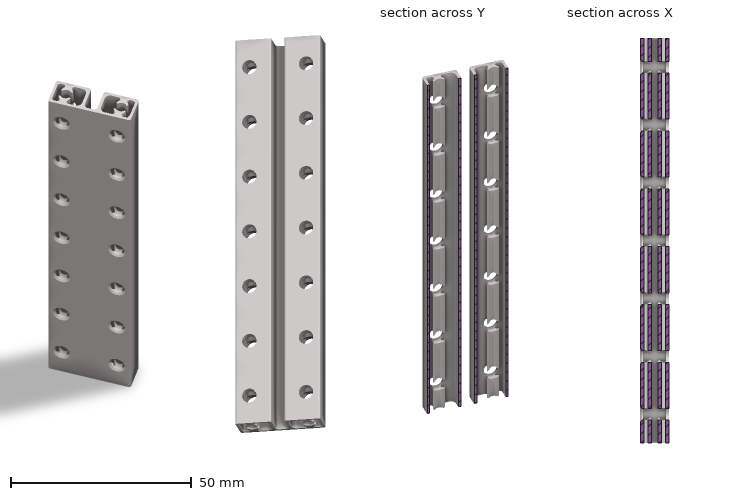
import cadquery as cq
import math

WIDTH = 24.0
DEPTH = 8.0
LENGTH = 112.0

SIDE_WALL = 0.8
FACE_WALL = 0.8
CHANNEL_WALL = 0.9
CHANNEL_FLOOR = 0.9
CHANNEL_WIDTH = 3.7

OUTER_RADIUS = 0.5
SIDE_CAVITY_RADIUS = 0.8
CHANNEL_CAVITY_RADIUS = 1.5
CHANNEL_RADIUS = 1.0

STEM_WIDTH = 2.1
ROOT_RADIUS = 0.3
CRADLE_INNER_RADIUS = 1.6
CRADLE_OUTER_RADIUS = 2.1
CRADLE_END_ANGLE = math.radians(34)
NECK_HEIGHT = 2.4

HOLE_ROWS = 7
HOLE_PITCH = LENGTH / HOLE_ROWS
HOLE_OFFSET = HOLE_PITCH / 2
HOLE_DIAMETER = 4.0
SINK_DIAMETER = 5.0
SINK_DEPTH = (SINK_DIAMETER - HOLE_DIAMETER) / 2

SIDES = (-1, 1)


def centred_box(width, depth, x, y):
    """Full-length bar centred on (x, y)."""
    return cq.Workplane("XY").box(width, depth, LENGTH).translate((x, y, 0))


def rail_body():
    """Rounded bar with the open channel along its +Y face."""
    bar = centred_box(WIDTH, DEPTH, 0, 0).edges("|Z").fillet(OUTER_RADIUS)
    channel = centred_box(CHANNEL_WIDTH, DEPTH, 0, CHANNEL_FLOOR)
    channel = channel.edges("|Z and <Y").fillet(CHANNEL_RADIUS)
    bar = bar.cut(channel)
    lip_box = cq.selectors.BoxSelector(
        (-CHANNEL_WIDTH, DEPTH / 2 - OUTER_RADIUS / 2, -LENGTH),
        (CHANNEL_WIDTH, DEPTH / 2 + OUTER_RADIUS / 2, LENGTH),
    )
    return bar.edges("|Z").edges(lip_box).fillet(OUTER_RADIUS)


def cavity(side):
    """Tube cavity, more generously rounded next to the channel."""
    inner_x = CHANNEL_WIDTH / 2 + CHANNEL_WALL
    outer_x = WIDTH / 2 - SIDE_WALL
    hollow = centred_box(outer_x - inner_x, DEPTH - 2 * FACE_WALL, side * (inner_x + outer_x) / 2, 0)
    channel_edges, side_edges = ("<X", ">X") if side > 0 else (">X", "<X")
    hollow = hollow.edges("|Z and " + channel_edges).fillet(CHANNEL_CAVITY_RADIUS)
    return hollow.edges("|Z and " + side_edges).fillet(SIDE_CAVITY_RADIUS)


def rib(side, face):
    """Stem and cradle growing from the wall at Y = face * DEPTH / 2."""
    cos_end = math.cos(CRADLE_END_ANGLE)
    sin_end = face * math.sin(CRADLE_END_ANGLE)
    inner_x, inner_y = CRADLE_INNER_RADIUS * cos_end, CRADLE_INNER_RADIUS * sin_end
    outer_x, outer_y = CRADLE_OUTER_RADIUS * cos_end, CRADLE_OUTER_RADIUS * sin_end
    stem_x = STEM_WIDTH / 2
    neck_y = face * NECK_HEIGHT
    root_x = stem_x + ROOT_RADIUS
    root_y = face * (DEPTH / 2 - FACE_WALL)
    flare_y = root_y - face * ROOT_RADIUS
    anchor_y = face * (DEPTH - FACE_WALL) / 2
    return (
        cq.Workplane("XY", origin=(side * HOLE_OFFSET, 0, -LENGTH / 2))
        .moveTo(-inner_x, inner_y)
        .threePointArc((0, face * CRADLE_INNER_RADIUS), (inner_x, inner_y))
        .lineTo(outer_x, outer_y)
        .lineTo(stem_x, neck_y)
        .lineTo(stem_x, flare_y)
        .radiusArc((root_x, root_y), -face * ROOT_RADIUS)
        .lineTo(root_x, anchor_y)
        .lineTo(-root_x, anchor_y)
        .lineTo(-root_x, root_y)
        .radiusArc((-stem_x, flare_y), -face * ROOT_RADIUS)
        .lineTo(-stem_x, neck_y)
        .lineTo(-outer_x, outer_y)
        .close()
        .extrude(LENGTH)
    )


def countersunk_holes():
    """Cutters through both faces of the tubes, countersunk on the -Y face."""
    middle_row = (HOLE_ROWS - 1) / 2
    centres = [
        (side * HOLE_OFFSET, (row - middle_row) * HOLE_PITCH)
        for side in SIDES
        for row in range(HOLE_ROWS)
    ]
    face = cq.Workplane("XZ", origin=(0, -DEPTH / 2, 0)).pushPoints(centres)
    drills = face.circle(HOLE_DIAMETER / 2).extrude(-DEPTH)
    sink = cq.Solid.makeCone(
        SINK_DIAMETER / 2, HOLE_DIAMETER / 2, SINK_DEPTH, dir=cq.Vector(0, 1, 0)
    )
    for x, z in centres:
        drills = drills.union(cq.Workplane(sink.translate(cq.Vector(x, -DEPTH / 2, z))))
    return drills


result = rail_body()
for tube in SIDES:
    result = result.cut(cavity(tube))
    for wall in SIDES:
        result = result.union(rib(tube, wall))
result = result.cut(countersunk_holes())